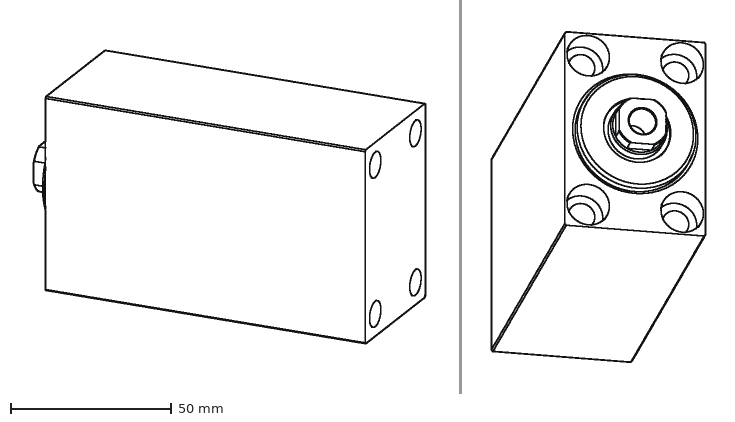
import cadquery as cq
import math


TOTAL_LENGTH = 121

LENGTH = 110.0
WIDTH = 45.0
HEIGHT = 65.0
EDGE_CHAMFER = 0.5

HOLE_SPACING_Y = 30.0
HOLE_SPACING_Z = 50.0
HOLE_DIAMETER = 8.5
COUNTERBORE_DIAMETER = 13.5
COUNTERBORE_DEPTH = 10.0

GLAND_DIAMETER = 38.0
GLAND_DEPTH = 18.0
GLAND_PROTRUSION = 3.0
GLAND_CHAMFER = 1.0
WIPER_RECESS_DIAMETER = 21.4
WIPER_RECESS_DEPTH = 1.5

ROD_DIAMETER = 18.0
ROD_CHAMFER = 0.55
ROD_PROTRUSION = TOTAL_LENGTH - LENGTH
TIP_DIAMETER = ROD_DIAMETER - 2 * ROD_CHAMFER
TIP_LENGTH = 5.0
TIP_CHAMFER = 0.2
ACROSS_FLATS = 15.0
TAP_DIAMETER = 8.5
TAP_DEPTH = 15.0
TAP_CHAMFER = 0.3
DRILL_POINT_ANGLE = 118


def cylinder(start, end, diameter):
    """Solid cylinder along X from start to end."""
    return cq.Workplane("YZ", origin=(start, 0, 0)).circle(diameter / 2).extrude(end - start)


def make_housing():
    """Block with the gland seat and four counterbored through holes."""
    block = (
        cq.Workplane("YZ")
        .rect(WIDTH, HEIGHT)
        .extrude(LENGTH)
        .edges("|X")
        .chamfer(EDGE_CHAMFER)
    )
    block = block.cut(cylinder(0, GLAND_DEPTH, GLAND_DIAMETER))
    block = block.faces("<X").edges("%CIRCLE").chamfer(GLAND_CHAMFER)
    return (
        block.faces("<X")
        .workplane(origin=(0, 0, 0))
        .rarray(HOLE_SPACING_Y, HOLE_SPACING_Z, 2, 2)
        .cboreHole(HOLE_DIAMETER, COUNTERBORE_DIAMETER, COUNTERBORE_DEPTH)
    )


def make_gland():
    """Chamfered disc with the rod hole and a shallow wiper recess around it."""
    face = -GLAND_PROTRUSION
    body = cylinder(face, GLAND_DEPTH, GLAND_DIAMETER).faces("<X").chamfer(GLAND_CHAMFER)
    rod_hole = cylinder(face, GLAND_DEPTH, ROD_DIAMETER)
    wiper_recess = cylinder(face, face + WIPER_RECESS_DEPTH, WIPER_RECESS_DIAMETER)
    return body.cut(rod_hole).cut(wiper_recess)


def make_tapped_hole(mouth):
    """Drilled hole with a conical bottom and a chamfered mouth, as a cutting solid."""
    radius = TAP_DIAMETER / 2
    point_length = radius / math.tan(math.radians(DRILL_POINT_ANGLE / 2))
    return (
        cq.Workplane("XY")
        .moveTo(mouth, 0)
        .lineTo(mouth, radius + TAP_CHAMFER)
        .lineTo(mouth + TAP_CHAMFER, radius)
        .lineTo(mouth + TAP_DEPTH, radius)
        .lineTo(mouth + TAP_DEPTH + point_length, 0)
        .close()
        .revolve(360, (0, 0, 0), (1, 0, 0))
    )


def make_rod():
    """Round shank with a four-flat wrench tip and a tapped hole in its end."""
    end = -ROD_PROTRUSION
    shoulder = end + TIP_LENGTH
    shank = cylinder(shoulder, GLAND_DEPTH, ROD_DIAMETER).faces("<X").chamfer(ROD_CHAMFER)
    tip = cylinder(end, shoulder, TIP_DIAMETER).faces("<X").chamfer(TIP_CHAMFER)
    wrench_flats = (
        cq.Workplane("YZ", origin=(end, 0, 0))
        .rect(ACROSS_FLATS, ACROSS_FLATS)
        .extrude(TIP_LENGTH)
    )
    return shank.union(tip.intersect(wrench_flats)).cut(make_tapped_hole(end))


housing = make_housing()
gland = make_gland()
rod = make_rod()

result = cq.Compound.makeCompound([housing.val(), gland.val(), rod.val()])